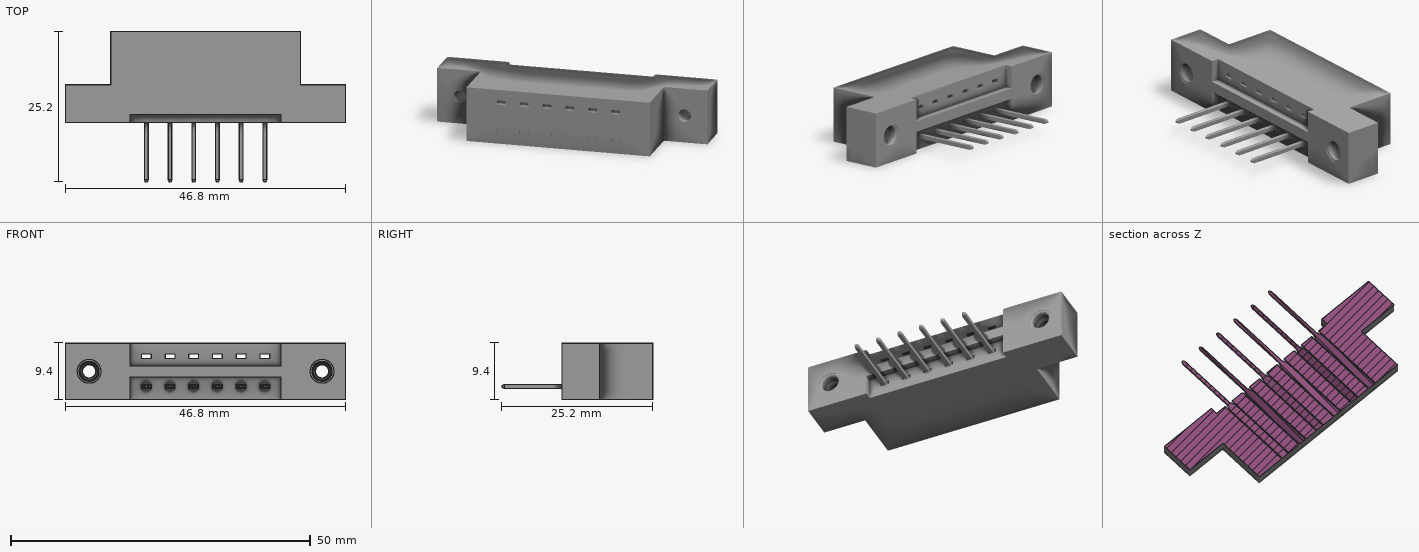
import cadquery as cq

BAR_LENGTH = 46.8
HEIGHT = 9.4
BAR_DEPTH = 6.3
BODY_LENGTH = 31.72
BODY_DEPTH = 15.2

RECESS_LENGTH = 25.2
RECESS_DEPTH = 1.3
RIB_HEIGHT = 1.82

CONTACT_COUNT = 6
CONTACT_ROW_LENGTH = 19.8
CONTACT_PITCH = CONTACT_ROW_LENGTH / (CONTACT_COUNT - 1)
ROW_OFFSET = 2.55
SLOT_WIDTH = 1.6
SLOT_HEIGHT = 0.7

BLADE_WIDTH = 1.4
TAIL_WIDTH = 0.65
TAIL_THICKNESS = SLOT_HEIGHT
TAIL_PROJECTION = 9.95
TIP_LENGTH = 0.4
TIP_WIDTH = 0.35
SHOULDER_LENGTH = 0.95

BUSHING_SPACING = 38.9
BUSHING_DIAMETER = 4.0
BUSHING_SETBACK = 0.1
MOUTH_DIAMETER = 3.35
COUNTERBORE_DIAMETER = 3.0
COUNTERBORE_DEPTH = 1.45
BORE_DIAMETER = 2.2

contact_positions = [i * CONTACT_PITCH - CONTACT_ROW_LENGTH / 2 for i in range(CONTACT_COUNT)]
bushing_positions = [-BUSHING_SPACING / 2, BUSHING_SPACING / 2]


def block(length, depth, height, x=0, z=0):
    """Box centred on x and z, running back from the front face at y = 0."""
    box = cq.Workplane("XY").box(length, depth, height, centered=(True, False, True))
    return box.translate((x, 0, z))


def make_housing():
    """Stepped block with front recesses, through slots and bushing bores."""
    housing = block(BAR_LENGTH, BAR_DEPTH, HEIGHT)
    housing = housing.union(block(BODY_LENGTH, BODY_DEPTH, HEIGHT))

    recess_height = (HEIGHT - RIB_HEIGHT) / 2
    recess_z = (HEIGHT - recess_height) / 2
    for side in (-1, 1):
        housing = housing.cut(block(RECESS_LENGTH, RECESS_DEPTH, recess_height, z=side * recess_z))
        for x in contact_positions:
            housing = housing.cut(block(SLOT_WIDTH, BODY_DEPTH, SLOT_HEIGHT, x, side * ROW_OFFSET))

    for x in bushing_positions:
        bore = cq.Workplane("XZ").center(x, 0).circle(BUSHING_DIAMETER / 2).extrude(-BAR_DEPTH)
        housing = housing.cut(bore)
    return housing


def make_contact(x):
    """Flat contact in the lower row, with a pyramid-shaped tip at the front of its tail."""
    shoulder_back = RECESS_DEPTH + SHOULDER_LENGTH
    half_tail = TAIL_WIDTH / 2
    half_blade = BLADE_WIDTH / 2
    tip_base = TIP_LENGTH - TAIL_PROJECTION
    profile = [
        (-half_tail, tip_base),
        (half_tail, tip_base),
        (half_tail, RECESS_DEPTH),
        (half_blade, shoulder_back),
        (half_blade, BODY_DEPTH),
        (-half_blade, BODY_DEPTH),
        (-half_blade, shoulder_back),
        (-half_tail, RECESS_DEPTH),
    ]
    shank = cq.Workplane("XY").polyline(profile).close().extrude(TAIL_THICKNESS / 2, both=True)
    tip = (
        cq.Workplane("XZ", origin=(0, tip_base, 0))
        .rect(TAIL_WIDTH, TAIL_THICKNESS)
        .workplane(offset=TIP_LENGTH)
        .rect(TIP_WIDTH, TIP_WIDTH)
        .loft()
    )
    return shank.union(tip).translate((x, 0, -ROW_OFFSET))


def make_bushing(x):
    """Revolved sleeve with a chamfered mouth and a bore that narrows behind it."""
    length = BAR_DEPTH - BUSHING_SETBACK
    outer_radius = BUSHING_DIAMETER / 2
    mouth_radius = MOUTH_DIAMETER / 2
    counterbore_radius = COUNTERBORE_DIAMETER / 2
    bore_radius = BORE_DIAMETER / 2
    mouth_depth = mouth_radius - counterbore_radius
    cone_end = COUNTERBORE_DEPTH + counterbore_radius - bore_radius
    section = [
        (mouth_radius, 0),
        (outer_radius, 0),
        (outer_radius, length),
        (bore_radius, length),
        (bore_radius, cone_end),
        (counterbore_radius, COUNTERBORE_DEPTH),
        (counterbore_radius, mouth_depth),
    ]
    bushing = cq.Workplane("XY").polyline(section).close().revolve(360, (0, 0, 0), (0, 1, 0))
    return bushing.translate((x, BUSHING_SETBACK, 0))


housing = make_housing()
contacts = [make_contact(x) for x in contact_positions]
bushings = [make_bushing(x) for x in bushing_positions]

result = cq.Compound.makeCompound(
    [housing.val(), *[contact.val() for contact in contacts], *[bushing.val() for bushing in bushings]]
)